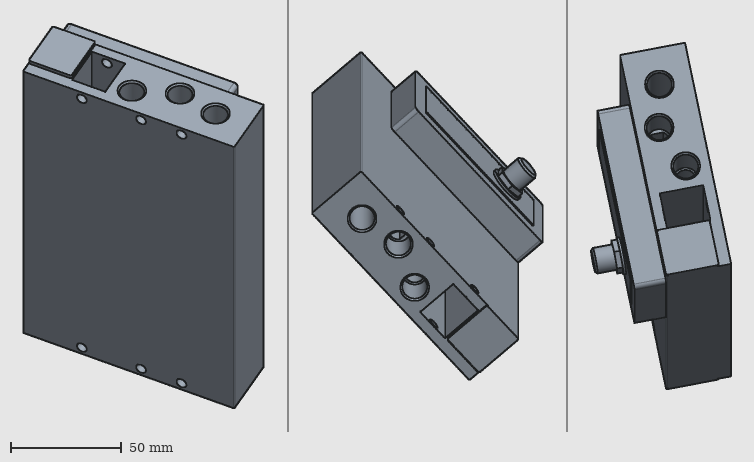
import cadquery as cq
import math

overall_height = 171.0
body_width = 106.7
body_depth = 30.0
top_cap_overhang = 1.9
bottom_cap_overhang = 1.2
body_height = overall_height - top_cap_overhang - bottom_cap_overhang
body_edge_radius = 0.5

cap_width = 21.5
cap_front = 5.6
cap_edge_radius = 0.9

channel_left = 22.2
channel_right = 39.0
channel_front = 5.1
channel_back = 25.1

mount_hole_diameter = 5.0
mount_hole_xs = (29.8, 59.7, 80.0)
mount_hole_z = 79.9

port_diameter = 11.3
port_chamfer = 0.9
port_depth = 20.5
narrow_port = (49.5, 11.1)
flat_port = (69.6, 19.3)
straight_port = (89.6, 15.2)
passage_diameter = 9.2
flat_passage_width = 7.5

cover_width = 86.2
cover_height = 53.9
cover_thickness = 14.5
cover_center_z = 48.0
cover_corner_radius = 2.0
cover_back = body_depth + cover_thickness

label_left = 6.8
label_width = 72.5
label_height = 35.5
label_thickness = 0.5

plug_x = 25.5
plug_z = 45.1
overall_depth = 58.5
washer_diameter = 17.0
washer_thickness = 1.7
nut_across_flats = 13.5
nut_corner_diameter = nut_across_flats / math.cos(math.pi / 6)
nut_thickness = 2.5
plug_diameter = 11.8
plug_chamfer = 1.0


def box(x_range, y_range, z_range):
    """Axis-aligned box given by its limits."""
    size = [high - low for low, high in (x_range, y_range, z_range)]
    corner = (x_range[0], y_range[0], z_range[0])
    return cq.Workplane("XY").box(*size, centered=False).translate(corner)


def facing_back(x, y, z):
    """Workplane at a point, with its normal along +Y."""
    return cq.Workplane("XZ", origin=(x, y, z)).transformed(rotate=(180, 0, 0))


def make_body():
    half_body = body_height / 2
    block = box((0, body_width), (0, body_depth), (-half_body, half_body))
    channel = box((channel_left, channel_right), (channel_front, channel_back), (-half_body, half_body))
    body = block.edges("|Z").fillet(body_edge_radius).cut(channel)
    cap_limits = (
        (half_body, half_body + top_cap_overhang),
        (-half_body - bottom_cap_overhang, -half_body),
    )
    for z_range in cap_limits:
        cap = box((0, cap_width), (cap_front, body_depth), z_range)
        body = body.union(cap.edges("|Z").fillet(cap_edge_radius))
    return body


def mount_holes():
    centers = [(x, z) for x in mount_hole_xs for z in (-mount_hole_z, mount_hole_z)]
    holes = cq.Workplane("XZ").pushPoints(centers).circle(mount_hole_diameter / 2)
    return holes.extrude(-body_depth)


def vertical_bore(center, diameter, height):
    return cq.Workplane("XY").center(*center).circle(diameter / 2).extrude(height / 2, both=True)


def port_mouths(center):
    """Chamfered bores entering from the top and bottom faces."""
    top = body_height / 2
    radius = port_diameter / 2
    mouth_radius = radius + port_chamfer
    profile = [
        (0, top - port_depth),
        (radius, top - port_depth),
        (radius, top - port_chamfer),
        (mouth_radius, top),
        (0, top),
    ]
    upper = cq.Workplane("XZ").polyline(profile).close().revolve(360, (0, 0), (0, 1))
    both = upper.union(upper.mirror("XY"))
    return both.translate((*center, 0))


def ports():
    flat_cheeks = cq.Workplane("XY").center(*flat_port).box(flat_passage_width, port_diameter, body_height)
    passages = (
        vertical_bore(narrow_port, passage_diameter, body_height)
        .union(vertical_bore(flat_port, passage_diameter, body_height).intersect(flat_cheeks))
        .union(vertical_bore(straight_port, port_diameter, body_height))
    )
    for center in (narrow_port, flat_port, straight_port):
        passages = passages.union(port_mouths(center))
    return passages


def make_cover():
    half_height = cover_height / 2
    cover = box(
        (0, cover_width),
        (body_depth, cover_back),
        (cover_center_z - half_height, cover_center_z + half_height),
    ).edges("|Y").fillet(cover_corner_radius)
    half_label = label_height / 2
    label = box(
        (label_left, label_left + label_width),
        (cover_back, cover_back + label_thickness),
        (cover_center_z - half_label, cover_center_z + half_label),
    )
    return cover.union(label)


def make_plug():
    nut_start = cover_back + washer_thickness
    washer = facing_back(plug_x, cover_back, plug_z).circle(washer_diameter / 2).extrude(washer_thickness)
    nut = (
        facing_back(plug_x, nut_start, plug_z)
        .transformed(rotate=(0, 0, 90))
        .polygon(6, nut_corner_diameter)
        .extrude(nut_thickness)
    )
    barrel = (
        facing_back(plug_x, cover_back, plug_z)
        .circle(plug_diameter / 2)
        .extrude(overall_depth - cover_back)
        .faces(">Y")
        .chamfer(plug_chamfer)
    )
    return washer.union(nut).union(barrel)


body = make_body().cut(mount_holes()).cut(ports())
result = body.union(make_cover()).union(make_plug())